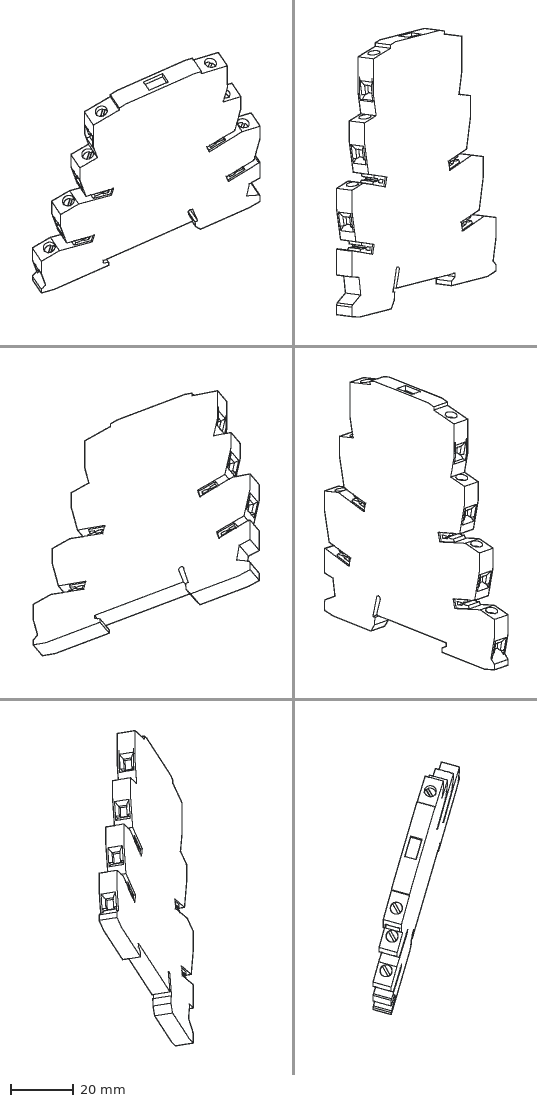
import cadquery as cq
import math


THICKNESS = 6.1
HEIGHT = 86.9
LATCH_END_Y = 36.5
TERMINAL_TILT = 12.0
TILT_TAN = math.tan(math.radians(TERMINAL_TILT))

CAP_HALF_LENGTH = 15.0
CAP_TOP_HALF_LENGTH = 12.4
CAP_CHAMFER_DROP = 0.6
WINDOW_WIDTH = 3.7
WINDOW_LENGTH = 6.95
WINDOW_DEPTH = 1.7

TIER_STEP_Y = 7.0
TIER_PITCH_Z = 20.9
TIER_4 = (LATCH_END_Y + TIER_STEP_Y, 21.1)
TIER_3 = (LATCH_END_Y, TIER_4[1] + TIER_PITCH_Z)
TIER_2 = (TIER_3[0] - TIER_STEP_Y, TIER_3[1] + TIER_PITCH_Z)
TIER_1 = (24.5, 83.2)
END_FACE_HEIGHT = 6.5
TOP_END_FACE_HEIGHT = 11.8
TIER_HEIGHT = 17.1
SCREW_FACE_LENGTH = 6.6

SLOT_ANGLE = 14.5
SLOT_WIDTH = 3.2
SLOT_END_INSET = 18.6
CLIP_SIDE_GAP = 0.6
CLIP_WALL = 1.0
CLIP_ROOT_LENGTH = 6.5
CLIP_TIP_LENGTH = 6.1
TOOTH_HEIGHT = 0.5
LOWER_TOOTH = (5.3, 3.6, 2.95)
UPPER_TOOTH = (2.1, 3.9, 4.1)

RAIL_SEAT_Z = 6.35
RAIL_SEAT_HOOK_Y = 20.85
HOOK_LIP_Y = 18.9
HOOK_LIP_Z = 4.0
HOOK_THROAT_Z = 5.2
HOOK_UNDERSIDE_Z = 2.5
HOOK_CHAMFER_LENGTH = 4.8
HOOK_CHAMFER_HEIGHT = 1.1
LATCH_RIDGE_Y = 36.0
LATCH_OUTLINE = [
    (LATCH_END_Y, 13.7),
    (32.5, 13.0),
    (31.55, 7.1),
    (36.1, 4.6),
    (LATCH_END_Y, 3.9),
    (LATCH_END_Y, 0.8),
    (32.3, 0),
    (14.6, 0),
    (12.9, 2.7),
    (12.7, 5.3),
    (13.6, 5.4),
]
SLIT_OUTER_TOP = (11.9, 12.3)
SLIT_CROWN = (11.0, 13.2)
SLIT_INNER_TOP = (10.2, 12.2)
SLIT_MOUTH_Y = 11.9

SCREW_INSET = 4.5
SCREW_DIAMETER = 3.8
SCREW_DEPTH = 1.9
DRIVE_WIDTH = 0.8
DRIVE_DEPTH = 0.4
DRIVE_TURN = -45

ENTRY_WIDTH = 4.9
ENTRY_TOP_DROP = 7.7
ENTRY_BOTTOM_DROP = 14.0
FUNNEL_DEPTH = 0.6
THROAT_WIDTH = 2.6
THROAT_TOP_DROP = 9.2
THROAT_BOTTOM_DROP = 12.4
THROAT_BEND_DROP = 10.8
THROAT_DEPTH = 2.3
THROAT_LOWER_TILT = 6.0
ENTRY_RAMP_ANGLE = 42.5
ENTRY_RAMP_TOP_DROP = 12.5
RAMP_TAN = math.tan(math.radians(ENTRY_RAMP_ANGLE))


def wire_face_inset(drop):
    """Inset of the leaning wire face at a given drop below the tier corner."""
    return (drop - END_FACE_HEIGHT) * TILT_TAN


def screw_face_point(tier, inset):
    half_length, corner_z = tier
    return (half_length - inset, corner_z + inset * TILT_TAN)


def slot_end(lower_tier):
    """Lower inner corner of the marker slot that lies above a tier."""
    ridge_y, ridge_z = screw_face_point(lower_tier, SCREW_FACE_LENGTH)
    y = lower_tier[0] - SLOT_END_INSET
    return (y, ridge_z - (ridge_y - y) * math.tan(math.radians(SLOT_ANGLE)))


def slot_point(lower_tier, along, across):
    """Point in a slot: distance outwards from its end wall and upwards from its floor."""
    y, z = slot_end(lower_tier)
    sine = math.sin(math.radians(SLOT_ANGLE))
    cosine = math.cos(math.radians(SLOT_ANGLE))
    return (y + along * cosine - across * sine, z + along * sine + across * cosine)


def slot_edge(upper_tier, lower_tier):
    """Outline from the lower edge of one tier through the slot to the tier below."""
    half_length, corner_z = upper_tier
    return [
        (half_length - wire_face_inset(TIER_HEIGHT), corner_z - TIER_HEIGHT),
        slot_point(lower_tier, 0, SLOT_WIDTH),
        slot_end(lower_tier),
    ]


def end_face(tier, height):
    half_length, corner_z = tier
    return [(half_length, corner_z), (half_length, corner_z - height)]


def upper_tiers_edge():
    """Outline of one side, from the cap down to the slot above tier 4."""
    cap_base_z = screw_face_point(TIER_1, TIER_1[0] - CAP_HALF_LENGTH)[1]
    overhang = TIER_1[1] - TOP_END_FACE_HEIGHT - TIER_2[1]
    offset = TIER_2[0] - TIER_1[0]
    meeting_inset = (overhang * TILT_TAN + offset) / (1 + TILT_TAN**2)
    return [
        (CAP_TOP_HALF_LENGTH, HEIGHT),
        (CAP_HALF_LENGTH, HEIGHT - CAP_CHAMFER_DROP),
        (CAP_HALF_LENGTH, cap_base_z),
        *end_face(TIER_1, TOP_END_FACE_HEIGHT),
        screw_face_point(TIER_2, meeting_inset),
        *end_face(TIER_2, END_FACE_HEIGHT),
        *slot_edge(TIER_2, TIER_3),
        screw_face_point(TIER_3, SCREW_FACE_LENGTH),
        *end_face(TIER_3, END_FACE_HEIGHT),
        *slot_edge(TIER_3, TIER_4),
    ]


def rail_side_edge():
    """Outline of tier 4 and the fixed rail hook, from the ridge to the rail seat (given on +Y)."""
    end_y, corner_z = TIER_4
    lip_inset = wire_face_inset(ENTRY_BOTTOM_DROP)
    lip_z = corner_z - ENTRY_BOTTOM_DROP
    return [
        screw_face_point(TIER_4, SCREW_FACE_LENGTH),
        *end_face(TIER_4, END_FACE_HEIGHT),
        (end_y - lip_inset, lip_z),
        (end_y, lip_z - lip_inset * RAMP_TAN),
        (end_y, HOOK_UNDERSIDE_Z + HOOK_CHAMFER_HEIGHT),
        (end_y - HOOK_CHAMFER_LENGTH, HOOK_UNDERSIDE_Z),
        (HOOK_LIP_Y, HOOK_UNDERSIDE_Z),
        (HOOK_LIP_Y, HOOK_LIP_Z),
        (RAIL_SEAT_HOOK_Y, HOOK_THROAT_Z),
        (RAIL_SEAT_HOOK_Y, RAIL_SEAT_Z),
    ]


def latch_side_edge():
    """Outline from the ridge below the lowest slot round the foot to the top of the spring slit."""
    floor_y = slot_end(TIER_4)[0]
    along = (LATCH_RIDGE_Y - floor_y) / math.cos(math.radians(SLOT_ANGLE))
    ridge_y, ridge_z = slot_point(TIER_4, along, 0)
    end_top_z = ridge_z - (LATCH_END_Y - ridge_y) * TILT_TAN
    return [(ridge_y, ridge_z), (LATCH_END_Y, end_top_z), *LATCH_OUTLINE, SLIT_OUTER_TOP]


def mirrored(points):
    """The same outline on the -Y side, run in the opposite direction."""
    return [(-y, z) for y, z in reversed(points)]


def housing():
    outline = [
        *mirrored(rail_side_edge()),
        *mirrored(upper_tiers_edge()),
        *upper_tiers_edge(),
        *latch_side_edge(),
    ]
    sketch = cq.Workplane("YZ").polyline(outline)
    sketch = sketch.threePointArc(SLIT_CROWN, SLIT_INNER_TOP)
    sketch = sketch.lineTo(SLIT_MOUTH_Y, RAIL_SEAT_Z).close()
    return sketch.extrude(THICKNESS / 2, both=True)


def side_prism(points, side, width):
    """Prism centred on X from a (Y, Z) outline given for the +Y side."""
    outline = cq.Workplane("YZ").polyline([(side * y, z) for y, z in points]).close()
    return outline.extrude(width / 2, both=True)


def marker_clip(lower_tier, side):
    """U-shaped clip lining the marker slot, with a tooth on each arm."""
    inner_low = CLIP_WALL
    inner_high = SLOT_WIDTH - CLIP_WALL
    lower_ramp, lower_tip, lower_step = LOWER_TOOTH
    upper_ramp, upper_tip, upper_step = UPPER_TOOTH
    local_points = [
        (0, 0),
        (CLIP_ROOT_LENGTH, 0),
        (CLIP_TIP_LENGTH, inner_low),
        (lower_ramp, inner_low),
        (lower_tip, inner_low + TOOTH_HEIGHT),
        (lower_step, inner_low),
        (CLIP_WALL, inner_low),
        (CLIP_WALL, inner_high),
        (upper_ramp, inner_high),
        (upper_tip, inner_high - TOOTH_HEIGHT),
        (upper_step, inner_high),
        (CLIP_TIP_LENGTH, inner_high),
        (CLIP_ROOT_LENGTH, SLOT_WIDTH),
        (0, SLOT_WIDTH),
    ]
    points = [slot_point(lower_tier, along, across) for along, across in local_points]
    return side_prism(points, side, THICKNESS - 2 * CLIP_SIDE_GAP)


def screw_hole(tier, side):
    """Round hole square to the screw face, with a diagonal driver slot in its floor."""
    y, z = screw_face_point(tier, SCREW_INSET)
    tilt = math.radians(TERMINAL_TILT)
    face = cq.Plane((0, side * y, z), (1, 0, 0), (0, side * math.sin(tilt), math.cos(tilt)))
    hole = cq.Workplane(face).circle(SCREW_DIAMETER / 2).extrude(-SCREW_DEPTH)
    drive_bottom = -SCREW_DEPTH - DRIVE_DEPTH
    drive = cq.Workplane(face).transformed(rotate=(0, 0, DRIVE_TURN))
    drive = drive.rect(SCREW_DIAMETER, DRIVE_WIDTH).extrude(drive_bottom)
    shaft = cq.Workplane(face).circle(SCREW_DIAMETER / 2).extrude(drive_bottom)
    return hole.union(drive.intersect(shaft))


def entry_rectangle(tier, side, depth, top_drop, bottom_drop, width):
    """Closed rectangle lying parallel to the wire face, at a depth behind it along Y."""
    half_length, corner_z = tier
    corners = []
    for drop, x_sign in ((top_drop, -1), (top_drop, 1), (bottom_drop, 1), (bottom_drop, -1)):
        y = half_length - wire_face_inset(drop) - depth
        corners.append(cq.Vector(x_sign * width / 2, side * y, corner_z - drop))
    return cq.Wire.makePolygon(corners, close=True)


def entry_funnel(tier, side):
    mouth = entry_rectangle(tier, side, 0, ENTRY_TOP_DROP, ENTRY_BOTTOM_DROP, ENTRY_WIDTH)
    inner_end = entry_rectangle(
        tier, side, FUNNEL_DEPTH, THROAT_TOP_DROP, THROAT_BOTTOM_DROP, THROAT_WIDTH
    )
    return cq.Workplane(cq.Solid.makeLoft([mouth, inner_end], True))


def entry_throat(tier, side):
    """Pocket behind the funnel, floored by the ramp, with a back bent at mid height."""
    lip_inset = wire_face_inset(ENTRY_BOTTOM_DROP)
    roof_inset = wire_face_inset(THROAT_TOP_DROP) + FUNNEL_DEPTH
    roof_length = (THROAT_DEPTH - FUNNEL_DEPTH) / (1 + TILT_TAN**2)
    bend_inset = wire_face_inset(THROAT_BEND_DROP) + THROAT_DEPTH
    lower_tan = math.tan(math.radians(THROAT_LOWER_TILT))
    ramp_inset_at_bend = lip_inset + (ENTRY_BOTTOM_DROP - THROAT_BEND_DROP) / RAMP_TAN
    back_height = (ramp_inset_at_bend - bend_inset) / (lower_tan + 1 / RAMP_TAN)
    inset_and_drop = [
        (lip_inset, ENTRY_BOTTOM_DROP),
        (roof_inset, THROAT_TOP_DROP),
        (roof_inset + roof_length, THROAT_TOP_DROP - roof_length * TILT_TAN),
        (bend_inset, THROAT_BEND_DROP),
        (bend_inset + back_height * lower_tan, THROAT_BEND_DROP + back_height),
    ]
    half_length, corner_z = tier
    points = [(half_length - inset, corner_z - drop) for inset, drop in inset_and_drop]
    return side_prism(points, side, THROAT_WIDTH)


def entry_ramp(tier, side):
    """Ramp rising inwards from the lower lip, roofed square to the wire face."""
    half_length, corner_z = tier
    lip_y = half_length - wire_face_inset(ENTRY_BOTTOM_DROP)
    lip_z = corner_z - ENTRY_BOTTOM_DROP
    roof_y = half_length - wire_face_inset(ENTRY_RAMP_TOP_DROP)
    roof_z = corner_z - ENTRY_RAMP_TOP_DROP
    tip_y = (lip_z - roof_z + lip_y * RAMP_TAN - roof_y * TILT_TAN) / (RAMP_TAN - TILT_TAN)
    tip_z = roof_z + (roof_y - tip_y) * TILT_TAN
    return side_prism([(lip_y, lip_z), (roof_y, roof_z), (tip_y, tip_z)], side, ENTRY_WIDTH)


def top_entry_recess(side):
    """Opening through tier 1's thicker end wall, down to the plane of its wire entry."""
    half_length, corner_z = TIER_1
    bottom_y = half_length - wire_face_inset(ENTRY_BOTTOM_DROP)
    bottom_z = corner_z - ENTRY_BOTTOM_DROP
    reach = half_length - bottom_y
    points = [
        (half_length, corner_z - END_FACE_HEIGHT),
        (bottom_y, bottom_z),
        (half_length, bottom_z - reach * TILT_TAN),
    ]
    return side_prism(points, side, ENTRY_WIDTH)


def label_window():
    blank = cq.Workplane().box(WINDOW_WIDTH, WINDOW_LENGTH, WINDOW_DEPTH, centered=(True, True, False))
    return blank.translate((0, 0, HEIGHT - WINDOW_DEPTH))


result = housing()
for lower_tier in (TIER_3, TIER_4):
    for side in (-1, 1):
        result = result.union(marker_clip(lower_tier, side))

terminals = [(tier, side) for tier in (TIER_1, TIER_2, TIER_3) for side in (-1, 1)]
terminals.append((TIER_4, -1))
for tier, side in terminals:
    result = result.cut(screw_hole(tier, side))
    result = result.cut(entry_funnel(tier, side))
    result = result.cut(entry_throat(tier, side))
    result = result.cut(entry_ramp(tier, side))

for side in (-1, 1):
    result = result.cut(top_entry_recess(side))
result = result.cut(label_window())